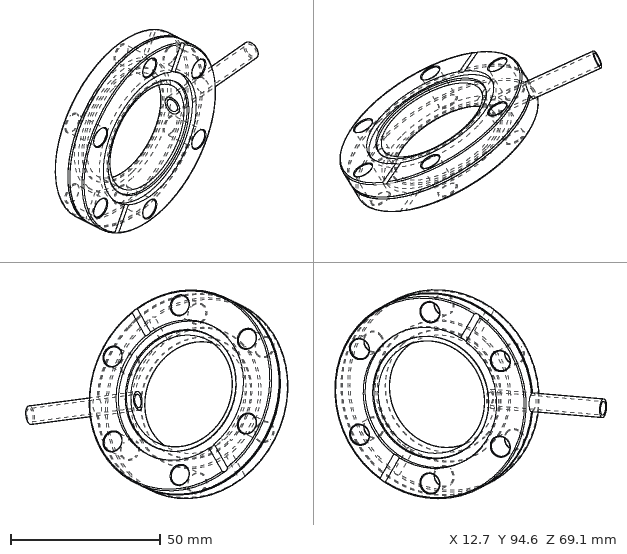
import cadquery as cq
import math

flange_diameter = 69.1
flange_thickness = 12.7
bore_diameter = 38.4
rim_chamfer = 0.5

recess_diameter = 48.2
recess_wall_depth = 1.7
knife_diameter = 41.9
knife_depth = 0.6
ledge_diameter = 41.6
ledge_depth = 1.2

rim_groove_width = 0.85
rim_groove_depth = 0.1

bolt_hole_diameter = 6.7
bolt_hole_chamfer = 0.3
bolt_circle_diameter = 58.7
bolt_count = 6

leak_groove_width = 2.3
leak_groove_depth = 0.5
leak_groove_angles = (math.radians(30), math.radians(210))
leak_groove_overrun = 0.1

tube_diameter = 6.3
tube_bore_diameter = 4.5
overall_length = 94.55

flange_radius = flange_diameter / 2
bore_radius = bore_diameter / 2
half_thickness = flange_thickness / 2
leak_groove_radius = (leak_groove_width**2 / 4 + leak_groove_depth**2) / (2 * leak_groove_depth)
tube_end_y = overall_length - flange_radius


def make_flange_blank():
    """Revolve the ring section; its points are (x, radius)."""
    half_groove = rim_groove_width / 2
    groove_radius = flange_radius - rim_groove_depth
    right_half = [
        (half_groove, groove_radius),
        (half_groove, flange_radius),
        (half_thickness - rim_chamfer, flange_radius),
        (half_thickness, flange_radius - rim_chamfer),
        (half_thickness, recess_diameter / 2),
        (half_thickness - recess_wall_depth, recess_diameter / 2),
        (half_thickness - knife_depth, knife_diameter / 2),
        (half_thickness - ledge_depth, ledge_diameter / 2),
        (half_thickness - ledge_depth, bore_radius),
    ]
    left_half = [(-x, radius) for x, radius in reversed(right_half)]
    section = cq.Workplane("XZ").polyline(right_half + left_half).close()
    return section.revolve(360, (0, 0, 0), (1, 0, 0))


def make_bolt_hole_cutter(angle):
    """Cylinder through the whole thickness that flares into a chamfer at both faces."""
    hole_radius = bolt_hole_diameter / 2
    mouth_radius = hole_radius + bolt_hole_chamfer
    chamfer_start = half_thickness - bolt_hole_chamfer
    profile = [
        (-half_thickness, 0),
        (-half_thickness, mouth_radius),
        (-chamfer_start, hole_radius),
        (chamfer_start, hole_radius),
        (half_thickness, mouth_radius),
        (half_thickness, 0),
    ]
    cutter = cq.Workplane("XY").polyline(profile).close().revolve(360, (0, 0, 0), (1, 0, 0))
    return cutter.translate((0, 0, bolt_circle_diameter / 2)).rotate((0, 0, 0), (1, 0, 0), angle)


def make_leak_groove(side, angle):
    """Radial rod dipping into one face, from the recess wall out past the rim; side is -1 or 1 along X."""
    axis_x = side * (half_thickness - leak_groove_depth + leak_groove_radius)
    start_radius = recess_diameter / 2 - leak_groove_overrun
    length = flange_radius + leak_groove_overrun - start_radius
    direction = cq.Vector(0, math.sin(angle), math.cos(angle))
    start = cq.Vector(axis_x, 0, 0) + direction * start_radius
    cross_section = cq.Plane(start, xDir=(side, 0, 0), normal=direction)
    return cq.Workplane(cross_section).circle(leak_groove_radius).extrude(length)


def make_rod_y(diameter, start_y):
    """Cylinder along Y that ends at the outer end of the tube."""
    return cq.Workplane("XZ", origin=(0, tube_end_y, 0)).circle(diameter / 2).extrude(tube_end_y - start_y)


def make_flange():
    flange = make_flange_blank()
    for index in range(bolt_count):
        flange = flange.cut(make_bolt_hole_cutter(index * 360 / bolt_count))
    for side in (-1, 1):
        for angle in leak_groove_angles:
            flange = flange.cut(make_leak_groove(side, angle))
    return flange.cut(make_rod_y(tube_diameter, 0))


def make_tube():
    """Open tube whose inner end follows the curve of the flange bore."""
    bore = cq.Workplane("YZ", origin=(-half_thickness, 0, 0)).circle(bore_radius).extrude(flange_thickness)
    return make_rod_y(tube_diameter, 0).cut(make_rod_y(tube_bore_diameter, 0)).cut(bore)


flange = make_flange()
tube = make_tube()
result = cq.Compound.makeCompound([flange.val(), tube.val()])